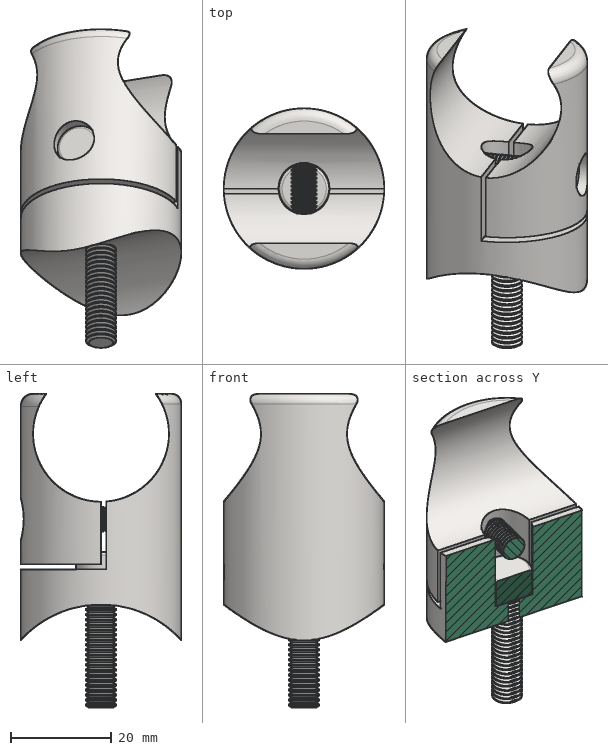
import cadquery as cq

POST_RADIUS = 16.0
TOTAL_HEIGHT = 62.5
FOOT_RADIUS = 21.5
FOOT_APEX_Z = 20.5
CLAMP_RADIUS = 13.5
CLAMP_AXIS_Z = 54.5
BASE_TOP_FILLET = 2.0
JAW_TOP_FILLET = 2.5

GAP = 1.0
STEP_Z = 27.5
JAW_BOTTOM_Z = STEP_Z + GAP

BOLT_DIAMETER = 6.0
BOLT_HEAD_DIAMETER = 10.0
BOLT_HEAD_HOLE_DIAMETER = 10.2
BOLT_LENGTH = 25.0

SCREW_DIAMETER = 5.0
SCREW_HEAD_DIAMETER = 8.5
SCREW_LENGTH = 20.0
SCREW_AXIS_Z = 37.5
SCREW_SEAT_Y = 8.9

RING_COUNT = 25
THREAD_DEPTH_RATIO = 0.6
CREST_WIDTH_RATIO = 0.25
HEAD_FILLET_RATIO = 0.1


def cylinder_along_x(radius, axis_z):
    """Cylinder along X, long enough to cross the whole post."""
    return cq.Workplane("YZ").center(0, axis_z).circle(radius).extrude(2 * POST_RADIUS, both=True)


def make_post(top_fillet):
    """Solid post with a rounded top edge, the concave foot and the clamp bore."""
    post = cq.Workplane("XY").circle(POST_RADIUS).extrude(TOTAL_HEIGHT).faces(">Z").edges().fillet(top_fillet)
    foot = cylinder_along_x(FOOT_RADIUS, FOOT_APEX_Z - FOOT_RADIUS)
    return post.cut(foot).cut(cylinder_along_x(CLAMP_RADIUS, CLAMP_AXIS_Z))


def jaw_side_block(min_y, min_z):
    """Block that covers the post beyond min_y and above min_z."""
    return cq.Workplane("XY").box(
        2 * POST_RADIUS, POST_RADIUS - min_y, TOTAL_HEIGHT - min_z, centered=(True, False, False)
    ).translate((0, min_y, min_z))


def lay_on_screw_axis(shape):
    """Turn a shape from Z to Y and put the seat of the screw head on the jaw."""
    return shape.rotate((0, 0, 0), (1, 0, 0), -90).translate((0, SCREW_SEAT_Y - SCREW_LENGTH, SCREW_AXIS_Z))


def fastener_hole(diameter, length, head_hole_diameter):
    """Shank hole from Z = 0 to the head seat, and a head hole from there to beyond the post."""
    shank = cq.Workplane("XY").circle(diameter / 2).extrude(length)
    head = cq.Workplane("XY").workplane(offset=length).circle(head_hole_diameter / 2).extrude(TOTAL_HEIGHT)
    return shank.union(head)


def make_fastener(diameter, length, head_diameter):
    """Cap screw along Z with its tip at Z = 0 and a shank of tapered rings."""
    pitch = length / RING_COUNT
    crest_radius = diameter / 2
    root_radius = crest_radius - THREAD_DEPTH_RATIO * pitch
    outline = [(0, 0), (root_radius, 0)]
    for ring in range(RING_COUNT):
        ring_middle = (ring + 0.5) * pitch
        outline.append((crest_radius, ring_middle - CREST_WIDTH_RATIO * pitch / 2))
        outline.append((crest_radius, ring_middle + CREST_WIDTH_RATIO * pitch / 2))
        outline.append((root_radius, (ring + 1) * pitch))
    outline.append((0, length))
    shank = cq.Workplane("XZ").polyline(outline).close().revolve(360, (0, 0), (0, 1))
    head = cq.Workplane("XY").workplane(offset=length).circle(head_diameter / 2).extrude(diameter)
    head = head.faces(">Z").edges().fillet(HEAD_FILLET_RATIO * diameter)
    return shank.union(head)


bolt_hole = fastener_hole(BOLT_DIAMETER, BOLT_LENGTH, BOLT_HEAD_HOLE_DIAMETER)
screw_hole = lay_on_screw_axis(fastener_hole(SCREW_DIAMETER, SCREW_LENGTH, SCREW_HEAD_DIAMETER))

base = make_post(BASE_TOP_FILLET).cut(jaw_side_block(-GAP, STEP_Z)).cut(bolt_hole).cut(screw_hole)

jaw = make_post(JAW_TOP_FILLET).intersect(jaw_side_block(0, JAW_BOTTOM_Z)).cut(bolt_hole).cut(screw_hole)

bolt = make_fastener(BOLT_DIAMETER, BOLT_LENGTH, BOLT_HEAD_DIAMETER)
clamp_screw = lay_on_screw_axis(make_fastener(SCREW_DIAMETER, SCREW_LENGTH, SCREW_HEAD_DIAMETER))

result = cq.Compound.makeCompound([base.val(), jaw.val(), bolt.val(), clamp_screw.val()])